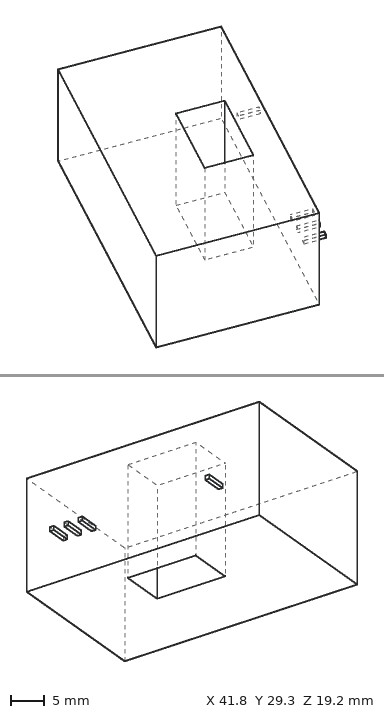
import cadquery as cq

body_length = 41.75
body_depth = 25.8
body_height = 19.2

window_length = 12.2
window_depth = 7.72
window_back_wall = 4.93

overall_depth = 29.3
pin_length = overall_depth - body_depth
pin_width = 0.7
pin_height = 6.97
single_pin_x = -13.95
pin_pitch = 2.55
group_first_x = 8.85
group_count = 3


def make_body():
    """Block with its base on Z = 0 and its back face on Y = 0."""
    block = cq.Workplane("XY").box(body_length, body_depth, body_height, centered=(True, False, False))
    return block.translate((0, -body_depth, 0))


def make_window():
    """Cutter for the through window, centred along the body length."""
    return (
        cq.Workplane("XY")
        .center(0, -window_back_wall - window_depth / 2)
        .rect(window_length, window_depth)
        .extrude(body_height)
    )


def make_pin(x):
    """Square pin standing out from the back face."""
    pin = cq.Workplane("XY").box(pin_width, pin_length, pin_width, centered=(True, False, True))
    return pin.translate((x, 0, pin_height))


group_pin_x = [group_first_x + i * pin_pitch for i in range(group_count)]

result = make_body().cut(make_window())
for pin_x in [single_pin_x] + group_pin_x:
    result = result.union(make_pin(pin_x))